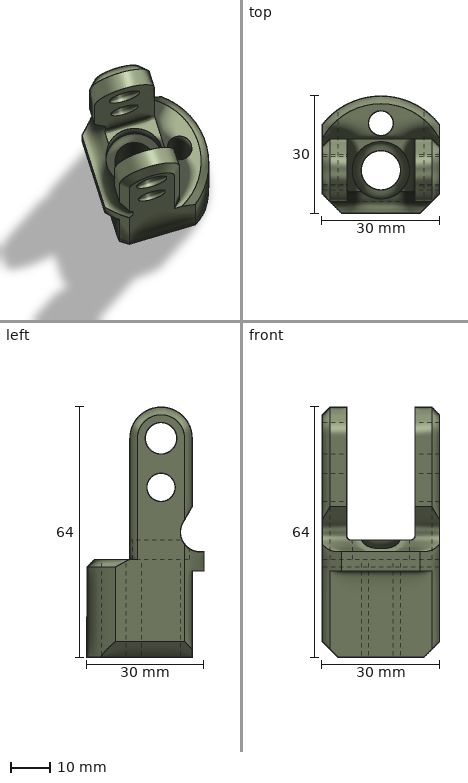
import cadquery as cq
import math

width = 30.0
height = 64.0
back_radius = 19.0
edge_chamfer = 2.0

arm_radius = 8.0
arm_gap = 17.4
gap_floor_z = 30.0
gap_fillet = 1.0
shelf_z = 25.0
base_chamfer = 4.0

lip_front_y = -11.0
lip_bottom_z = 22.0
lip_top_z = 27.0
corner_chamfer = 5.0

groove_radius = 5.0
groove_center_y = -10.0
ramp_angle = math.radians(30)

pin_diameter = 8.0
lower_pin_diameter = 7.2
lower_pin_z = 43.45

bore_diameter = 10.0
counterbore_diameter = 14.65
counterbore_floor_z = 25.0
shelf_hole_diameter = 6.3
shelf_hole_y = 12.0

half_width = width / 2
pin_z = height - arm_radius
groove_center_z = lip_top_z + groove_radius
corner_back_y = lip_front_y + corner_chamfer


def hole(diameter, y, bottom_z=0.0):
    """Vertical cutter on the middle plane, open at the top."""
    return cq.Workplane("XY", origin=(0, y, bottom_z)).circle(diameter / 2).extrude(height)


def cross_hole(diameter, z):
    """Cutter through both arms along X."""
    return cq.Workplane("YZ").center(0, z).circle(diameter / 2).extrude(half_width, both=True)


def make_base():
    """Round-backed block, chamfered around the top, up to the shelf."""
    block_depth = back_radius + arm_radius
    block = cq.Workplane("XY").box(width, block_depth, shelf_z, centered=(True, False, False))
    block = block.translate((0, -arm_radius, 0))
    round_back = cq.Workplane("XY").circle(back_radius).extrude(shelf_z)
    round_back = round_back.faces(">Z").edges().chamfer(edge_chamfer)
    front = cq.Workplane("XY").box(width, arm_radius, shelf_z, centered=(True, False, False))
    front = front.translate((0, -arm_radius, 0))
    return block.intersect(round_back).union(front)


def make_upright():
    """Round-topped slab with chamfered outer edges, later split into two arms."""
    upright = (
        cq.Workplane("YZ", origin=(-half_width, 0, 0))
        .moveTo(-arm_radius, 0)
        .lineTo(-arm_radius, pin_z)
        .threePointArc((0, height), (arm_radius, pin_z))
        .lineTo(arm_radius, 0)
        .close()
        .extrude(width)
    )
    upright = upright.faces("<X or >X").edges("not <Z").chamfer(edge_chamfer)
    below_shelf = cq.Workplane("XY").box(2 * width, 2 * width, shelf_z, centered=(True, True, False))
    return upright.cut(below_shelf)


def make_lip():
    """Bar across the front, left tall enough for the groove to shape its top."""
    lip_size = (width, -lip_front_y, groove_center_z - lip_bottom_z)
    lip = cq.Workplane("XY").box(*lip_size, centered=(True, False, False))
    return lip.translate((0, lip_front_y, lip_bottom_z))


def make_corner_cutter(side):
    """Vertical prism that bevels one front corner; side is -1 or 1."""
    return (
        cq.Workplane("XY")
        .moveTo(side * half_width, corner_back_y)
        .lineTo(side * (half_width - corner_chamfer), lip_front_y)
        .lineTo(side * half_width, lip_front_y)
        .close()
        .extrude(height)
    )


def make_base_cutter(side):
    """Prism along Y that bevels one lower side edge; side is -1 or 1."""
    return (
        cq.Workplane("XZ")
        .moveTo(side * half_width, 0)
        .lineTo(side * half_width, base_chamfer)
        .lineTo(side * (half_width - base_chamfer), 0)
        .close()
        .extrude(2 * back_radius, both=True)
    )


def make_gap():
    """Slot between the arms with rounded floor corners."""
    gap_size = (arm_gap, 2 * width, height - gap_floor_z)
    gap = cq.Workplane("XY").box(*gap_size, centered=(True, True, False))
    return gap.translate((0, 0, gap_floor_z)).edges("|Y and <Z").fillet(gap_fillet)


def make_groove():
    """Front groove along X: an arc from the lip, then a tangent ramp out to the arm front."""
    ramp_start_y = groove_center_y + groove_radius * math.cos(ramp_angle)
    ramp_start_z = groove_center_z + groove_radius * math.sin(ramp_angle)
    ramp_end_z = ramp_start_z + (ramp_start_y - lip_front_y) / math.tan(ramp_angle)
    return (
        cq.Workplane("YZ")
        .moveTo(lip_front_y, lip_top_z)
        .lineTo(groove_center_y, lip_top_z)
        .threePointArc(
            (groove_center_y + groove_radius * math.cos(ramp_angle),
             groove_center_z - groove_radius * math.sin(ramp_angle)),
            (ramp_start_y, ramp_start_z),
        )
        .lineTo(lip_front_y, ramp_end_z)
        .close()
        .extrude(half_width, both=True)
    )


result = make_base().union(make_upright()).union(make_lip())
for side in (-1, 1):
    result = result.cut(make_corner_cutter(side)).cut(make_base_cutter(side))
result = result.cut(make_gap()).cut(make_groove())
result = result.cut(cross_hole(pin_diameter, pin_z))
result = result.cut(cross_hole(lower_pin_diameter, lower_pin_z))
result = result.cut(hole(bore_diameter, 0))
result = result.cut(hole(counterbore_diameter, 0, counterbore_floor_z))
result = result.cut(hole(shelf_hole_diameter, shelf_hole_y))